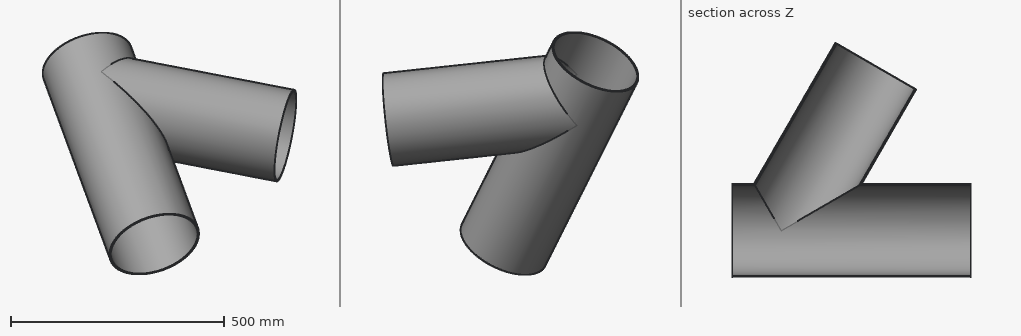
import cadquery as cq

outer_diameter = 219.075
inner_diameter = 211.557
run_length = 558.8
inlet_length = 114.3
branch_length = 444.5
branch_angle = 60.0


def run_cylinder(diameter):
    """Cylinder along X over the full length of the run."""
    start_plane = cq.Workplane("YZ", origin=(-inlet_length, 0, 0))
    return start_plane.circle(diameter / 2).extrude(run_length)


def branch_cylinder(diameter):
    """Cylinder from the axis crossing to the open end of the branch."""
    along_x = cq.Workplane("YZ").circle(diameter / 2).extrude(branch_length)
    return along_x.rotate((0, 0, 0), (0, 0, 1), branch_angle)


def joined_cylinders(diameter):
    """Run and branch cylinders of one diameter, merged into a single body."""
    return run_cylinder(diameter).union(branch_cylinder(diameter))


result = joined_cylinders(outer_diameter)
result = result.cut(run_cylinder(inner_diameter))
result = result.cut(branch_cylinder(inner_diameter))